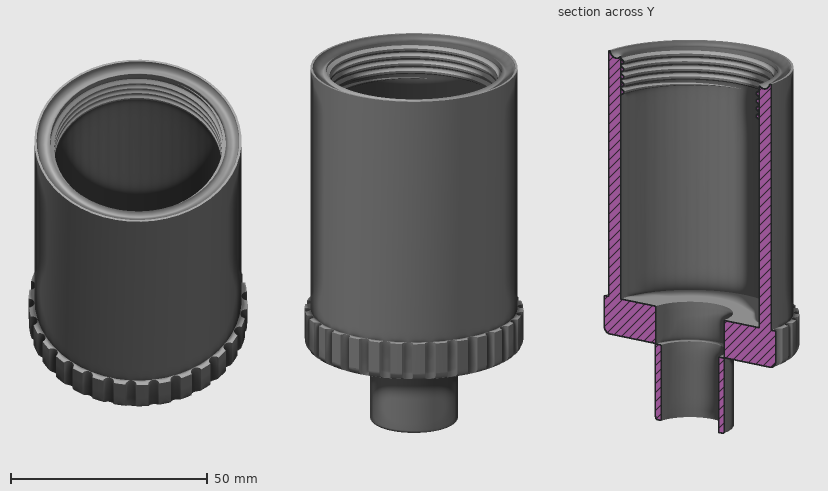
import cadquery as cq
import math

overall_height = 95.0
stem_length = 20.0
collar_height = 10.0
stem_bottom = -overall_height / 2
collar_bottom = stem_bottom + stem_length
collar_top = collar_bottom + collar_height
rim_top = overall_height / 2

barrel_diameter = 52.8
bore_diameter = 44.8

seat_land = 0.6
seat_depth = 1.6
seat_inner_drop = 0.8

collar_diameter = 55.8
collar_edge_radius = 2.0
flute_count = 30
flute_radius = 1.4
flute_start_angle = 3.0

stem_diameter = 22.5
stem_edge_radius = 0.8
through_diameter = 18.5
recess_diameter = 21.9
recess_depth = collar_height

turn_count = 4
tip_turns = 0.25
thread_pitch = 2.0
thread_inset = 2.3
thread_clearance = 0.01
thread_tooth_depth = 1.0
thread_flank_angle = 30.0
thread_root_width = thread_pitch * 7 / 8
thread_flank_rise = (thread_tooth_depth - thread_clearance) * math.tan(math.radians(thread_flank_angle))
thread_crest_width = thread_root_width - 2 * thread_flank_rise
thread_root_radius = bore_diameter / 2 - thread_clearance
thread_crest_radius = bore_diameter / 2 - thread_tooth_depth
thread_top = rim_top - thread_inset
thread_bottom = thread_top - turn_count * thread_pitch
points_per_turn = 48


def cylinder(diameter, bottom, top):
    return cq.Workplane("XY").workplane(offset=bottom).circle(diameter / 2).extrude(top - bottom)


def rim_seat():
    """Shallow concave ring between the narrow outer land and the bore."""
    outer = barrel_diameter / 2 - seat_land
    inner = bore_diameter / 2
    inner_height = rim_top - seat_inner_drop
    profile = (
        cq.Workplane("XZ")
        .moveTo(outer, rim_top)
        .threePointArc(((outer + inner) / 2, rim_top - seat_depth), (inner, inner_height))
        .lineTo(0, inner_height)
        .lineTo(0, rim_top)
        .close()
    )
    return profile.revolve(360, (0, 0), (0, 1))


def knurled_collar():
    collar = cylinder(collar_diameter, collar_bottom, collar_top)
    collar = collar.faces("<Z").edges().fillet(collar_edge_radius)
    flutes = (
        cq.Workplane("XY")
        .workplane(offset=collar_bottom)
        .polarArray(collar_diameter / 2, flute_start_angle, 360, flute_count)
        .circle(flute_radius)
        .extrude(collar_height)
    )
    return collar.cut(flutes)


def rounded_stem():
    stem = cylinder(stem_diameter, stem_bottom, collar_bottom)
    return stem.faces("<Z").edges().fillet(stem_edge_radius)


def make_housing():
    barrel = cylinder(barrel_diameter, collar_bottom, rim_top)
    housing = knurled_collar().union(barrel).union(rounded_stem())
    housing = housing.cut(cylinder(bore_diameter, collar_top, rim_top))
    housing = housing.cut(rim_seat())
    housing = housing.cut(cylinder(recess_diameter, collar_top - recess_depth, collar_top))
    return housing.cut(cylinder(through_diameter, stem_bottom, collar_top))


def thread_solid(start_height, turns, fades):
    """Right-handed helical ridge starting on the +X side; negative turns run downward.

    A fading ridge shrinks to a point beside the bore wall.
    """
    steps = math.ceil(points_per_turn * abs(turns))

    def helix(radius, offset):
        points = []
        for step in range(steps + 1):
            fraction = step / steps
            angle = 2 * math.pi * turns * fraction
            size = 1 - fraction if fades else 1
            distance = thread_root_radius + (radius - thread_root_radius) * size
            height = start_height + thread_pitch * turns * fraction + offset * size
            points.append(cq.Vector(distance * math.cos(angle), distance * math.sin(angle), height))
        return cq.Edge.makeSpline(points)

    edges = [
        helix(thread_root_radius, -thread_root_width / 2),
        helix(thread_crest_radius, -thread_crest_width / 2),
        helix(thread_crest_radius, thread_crest_width / 2),
        helix(thread_root_radius, thread_root_width / 2),
    ]
    faces = [cq.Face.makeRuledSurface(edges[i - 1], edges[i]) for i in range(len(edges))]
    end_positions = [0] if fades else [0, 1]
    for position in end_positions:
        corners = [edge.positionAt(position) for edge in edges]
        faces.append(cq.Face.makeFromWires(cq.Wire.makePolygon(corners, close=True)))
    return cq.Solid.makeSolid(cq.Shell.makeShell(faces)).fix()


def make_thread_turn(index):
    return thread_solid(thread_bottom + index * thread_pitch, 1, False)


def make_thread_tip(start_height, turns):
    return thread_solid(start_height, turns, True)


housing = make_housing()
thread_turns = [make_thread_turn(index) for index in range(turn_count)]
tip_starts = [(thread_top, tip_turns), (thread_bottom, -tip_turns)]
thread_tips = [make_thread_tip(height, turns) for height, turns in tip_starts]
result = cq.Compound.makeCompound([housing.val(), *thread_turns, *thread_tips])